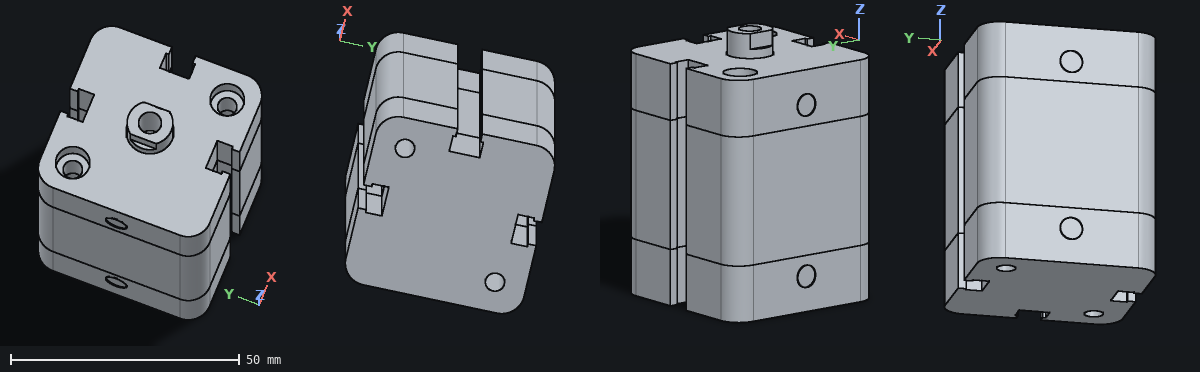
import cadquery as cq
import math


side = 40.0
corner_radius = 5.05

total_height = 60.0
cap_height = 12.7
rod_projection = 5.5
body_height = total_height - rod_projection
barrel_height = body_height - 2 * cap_height

slot_neck_width = 5.5
slot_lip = 1.85
slot_width = 6.85
slot_depth = 5.5
slot_angles = (0, 90, -90)

mount_offset = 13.0
mount_points = [(-mount_offset, mount_offset), (mount_offset, -mount_offset)]
mount_diameter = 4.2
counterbore_diameter = 7.5
counterbore_depth = 4.5

port_diameter = 5.0
port_depth = 0.25
port_end_distance = 8.0

rod_diameter = 10.0
rod_bore_diameter = 10.5
rod_length = rod_projection + cap_height
flats_width = 8.0
flats_height = 3.5
thread_diameter = 5.0
thread_depth = 12.0
drill_tip_angle = 118.0


def make_slot(height, angle):
    """Cutter for one T-slot, opening on +X and then turned about Z."""
    slot_floor = side / 2 - slot_depth
    lip_face = side / 2 - slot_lip
    neck = cq.Workplane("XY").box(slot_depth, slot_neck_width, height, centered=(False, True, False))
    head = cq.Workplane("XY").box(lip_face - slot_floor, slot_width, height, centered=(False, True, False))
    return neck.union(head).translate((slot_floor, 0, 0)).rotate((0, 0, 0), (0, 0, 1), angle)


def make_section(bottom, height):
    """Length of the slotted square profile, with the mounting holes through it."""
    section = cq.Workplane("XY").rect(side, side).extrude(height).edges("|Z").fillet(corner_radius)
    for angle in slot_angles:
        section = section.cut(make_slot(height, angle))
    holes = cq.Workplane("XY").pushPoints(mount_points).circle(mount_diameter / 2).extrude(height)
    return section.cut(holes).translate((0, 0, bottom))


def make_port(height):
    """Cutter for the shallow round port spot on the -X side."""
    face = cq.Workplane("YZ", origin=(-side / 2, 0, height))
    return face.circle(port_diameter / 2).extrude(port_depth)


def make_lower_cap():
    return make_section(0, cap_height).cut(make_port(port_end_distance))


def make_barrel():
    return make_section(cap_height, barrel_height)


def make_upper_cap():
    """Cap with the rod bore through it and counterbored mounting holes."""
    cap = make_section(body_height - cap_height, cap_height)
    cap = cap.cut(make_port(body_height - port_end_distance))
    top = cq.Workplane("XY", origin=(0, 0, body_height))
    counterbores = top.pushPoints(mount_points).circle(counterbore_diameter / 2).extrude(-counterbore_depth)
    rod_bore = top.circle(rod_bore_diameter / 2).extrude(-cap_height)
    return cap.cut(counterbores).cut(rod_bore)


def make_rod():
    """Rod standing on the barrel, with two wrench flats and a blind hole with a conical end."""
    rod = cq.Workplane("XY").circle(rod_diameter / 2).extrude(rod_length)
    flats_base = rod_length - flats_height
    flats_side = (rod_diameter - flats_width) / 2
    for direction in (-1, 1):
        flat = cq.Workplane("XY").box(flats_side, rod_diameter, flats_height, centered=(True, True, False))
        flat_center = direction * (flats_width + flats_side) / 2
        rod = rod.cut(flat.translate((flat_center, 0, flats_base)))

    hole_radius = thread_diameter / 2
    hole_bottom = rod_length - thread_depth
    tip_depth = hole_radius / math.tan(math.radians(drill_tip_angle / 2))
    hole_profile = (
        cq.Workplane("XZ")
        .moveTo(0, rod_length)
        .lineTo(hole_radius, rod_length)
        .lineTo(hole_radius, hole_bottom)
        .lineTo(0, hole_bottom - tip_depth)
        .close()
    )
    hole = hole_profile.revolve(360, (0, 0, 0), (0, 1, 0))
    return rod.cut(hole).translate((0, 0, total_height - rod_length))


lower_cap = make_lower_cap()
barrel = make_barrel()
upper_cap = make_upper_cap()
rod = make_rod()

result = cq.Compound.makeCompound([lower_cap.val(), barrel.val(), upper_cap.val(), rod.val()])